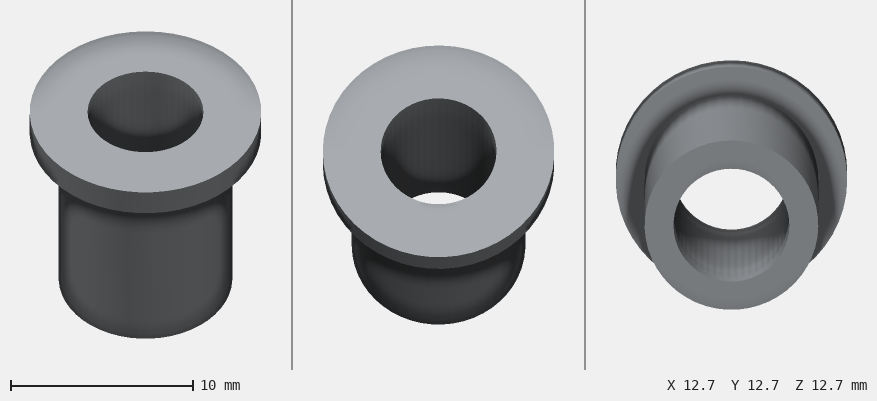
import cadquery as cq

total_height = 12.7
flange_diameter = 12.7
flange_thickness = 1.59
sleeve_diameter = 9.52
bore_diameter = 6.35

sleeve = cq.Workplane("XY").circle(sleeve_diameter / 2).extrude(total_height)

flange = (
    cq.Workplane("XY")
    .workplane(offset=total_height - flange_thickness)
    .circle(flange_diameter / 2)
    .extrude(flange_thickness)
)

bore = cq.Workplane("XY").circle(bore_diameter / 2).extrude(total_height)

result = sleeve.union(flange).cut(bore)